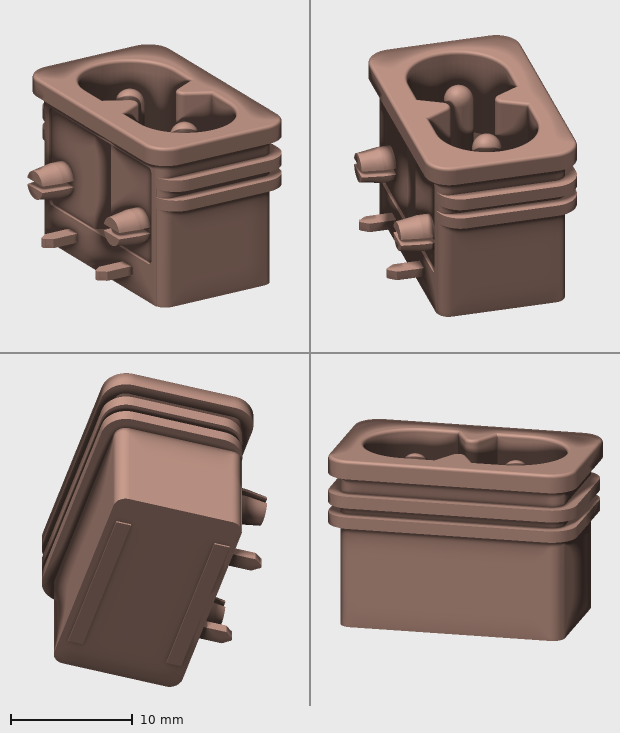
import cadquery as cq
import math

flange_top = 14.51
flange_bottom = 12.95
band_zones = [(10.45, 11.47), (8.72, 9.68)]

flange_width = 21.0
flange_depth = 12.94
flange_corner = 2.1
rim_round = 0.27
body_width = 18.98
body_back = 5.45
body_front = -5.48
body_corner = 1.03
panel_front = -5.52
panel_width = 17.35

socket_floor = 7.01
socket_radius = 4.25
pin_spacing = 8.53
notch_half_base = 1.65
notch_tip_radius = 0.71
flank_angle = math.radians(28)

pin_radius = 1.22
pin_dome_start = 12.4

recess_width = 15.95
recess_bottom = 3.38
recess_top = 11.97
recess_corner = 0.42
recess_floor = -5.25
groove_half_base = 1.28
groove_tip_radius = 0.48

peg_spacing = 11.95
peg_height = 6.25
peg_radius = 1.5
peg_tip_radius = 1.22
peg_taper_start = -6.3
peg_tip = -8.13
peg_slot = 0.57

blade_bottom = 1.45
blade_top = 2.25
blade_inner_side = 3.55
blade_outer_side = 4.85
blade_gap = 0.17
blade_gap_depth = 0.63
blade_shoulder = -7.83
blade_round_start = -8.34
blade_round_half_width = 0.25
blade_tip = -8.53
blade_root = -4.2

strip_length = 13.73
strip_width = 1.25
strip_height = 0.15
strip_centers = [4.12, -4.33]


def rounded_block(width, front, back, corner, bottom, top):
    """Upright block, centred on X, with rounded vertical edges."""
    return (
        cq.Workplane("XY")
        .box(width, back - front, top - bottom, centered=(True, False, False))
        .edges("|Z")
        .fillet(corner)
        .translate((0, front, bottom))
    )


def wedge(base_y, half_base, tip_radius, bottom, top):
    """Vertical V-shaped prism, rounded at the tip, pointing to +Y from its base."""
    tangent_x = tip_radius * math.cos(flank_angle)
    tangent_y = base_y + (half_base - tangent_x) / math.tan(flank_angle)
    tip_y = tangent_y + tip_radius * (1 - math.sin(flank_angle))
    return (
        cq.Workplane("XY")
        .workplane(offset=bottom)
        .moveTo(-half_base, base_y)
        .lineTo(-tangent_x, tangent_y)
        .threePointArc((0, tip_y), (tangent_x, tangent_y))
        .lineTo(half_base, base_y)
        .close()
        .extrude(top - bottom)
    )


def socket():
    """Figure-eight cavity: a long slot pinched by a notch on each side."""
    slot = (
        cq.Workplane("XY")
        .workplane(offset=socket_floor)
        .slot2D(pin_spacing + 2 * socket_radius, 2 * socket_radius)
        .extrude(flange_top - socket_floor)
    )
    notch = wedge(-socket_radius, notch_half_base, notch_tip_radius, socket_floor, flange_top)
    return slot.cut(notch).cut(notch.mirror("XZ"))


def pin(x):
    """Round contact pin with a domed end, rooted in the socket floor."""
    shaft = (
        cq.Workplane("XY")
        .workplane(offset=socket_floor)
        .center(x, 0)
        .circle(pin_radius)
        .extrude(pin_dome_start - socket_floor)
    )
    dome = cq.Workplane("XY").sphere(pin_radius).translate((x, 0, pin_dome_start))
    return shaft.union(dome)


def peg(x):
    """Mounting peg with a tapered end, split by a horizontal slot."""
    half_profile = [
        (0, recess_floor),
        (peg_radius, recess_floor),
        (peg_radius, peg_taper_start),
        (peg_tip_radius, peg_tip),
        (0, peg_tip),
    ]
    post = cq.Workplane("XY").polyline(half_profile).close().revolve(360, (0, 0, 0), (0, 1, 0))
    length = recess_floor - peg_tip
    slot = cq.Workplane("XY").box(2 * peg_radius, length, peg_slot).translate((0, peg_tip + length / 2, 0))
    return post.cut(slot).translate((x, 0, peg_height))


def blade_clearance():
    """Narrow gap in the panel along the outer side of the -X blade."""
    return (
        cq.Workplane("XY")
        .box(blade_gap, blade_gap_depth, blade_top - blade_bottom, centered=False)
        .translate((-blade_outer_side - blade_gap, panel_front, blade_bottom))
    )


def blade():
    """Solder blade on the -X side, with a chamfered and rounded tip."""
    tip_x = -(blade_inner_side + blade_outer_side) / 2
    return (
        cq.Workplane("XY")
        .workplane(offset=blade_bottom)
        .moveTo(-blade_outer_side, blade_root)
        .lineTo(-blade_outer_side, blade_shoulder)
        .lineTo(tip_x - blade_round_half_width, blade_round_start)
        .threePointArc((tip_x, blade_tip), (tip_x + blade_round_half_width, blade_round_start))
        .lineTo(-blade_inner_side, blade_shoulder)
        .lineTo(-blade_inner_side, blade_root)
        .close()
        .extrude(blade_top - blade_bottom)
    )


flange_back = flange_depth / 2
flange = rounded_block(flange_width, -flange_back, flange_back, flange_corner, flange_bottom, flange_top)
collar_bottom = band_zones[0][1]
collar = rounded_block(body_width, panel_front, body_back, body_corner, collar_bottom, flange_bottom)
body = rounded_block(body_width, body_front, body_back, body_corner, 0, collar_bottom)
shell = flange.union(collar).union(body)

slab = rounded_block(flange_width, panel_front, flange_back, flange_corner, 0, collar_bottom)
panel_zone = (
    cq.Workplane("XY")
    .box(panel_width, -panel_front, collar_bottom, centered=(True, False, False))
    .translate((0, panel_front, 0))
)
shell = shell.union(slab.intersect(panel_zone))

for band_bottom, band_top in band_zones:
    band = rounded_block(flange_width, panel_front, flange_back, flange_corner, band_bottom, band_top)
    shell = shell.union(band)

shell = shell.cut(socket())
shell = shell.faces(">Z").edges().fillet(rim_round)

recess_height = recess_top - recess_bottom
recess = (
    cq.Workplane("XY")
    .box(recess_width, recess_floor - panel_front, recess_height)
    .edges("|Y")
    .fillet(recess_corner)
    .translate((0, (recess_floor + panel_front) / 2, (recess_top + recess_bottom) / 2))
)
groove = wedge(recess_floor, groove_half_base, groove_tip_radius, recess_bottom, recess_top)
shell = shell.cut(recess).cut(groove)

left_gap = blade_clearance()
shell = shell.cut(left_gap).cut(left_gap.mirror("YZ"))

for side in (-1, 1):
    shell = shell.union(pin(side * pin_spacing / 2))
    shell = shell.union(peg(side * peg_spacing / 2))
left_blade = blade()
shell = shell.union(left_blade).union(left_blade.mirror("YZ"))

for y in strip_centers:
    strip = cq.Workplane("XY").box(strip_length, strip_width, strip_height, centered=(True, True, False))
    shell = shell.union(strip.translate((0, y, -strip_height)))

result = shell